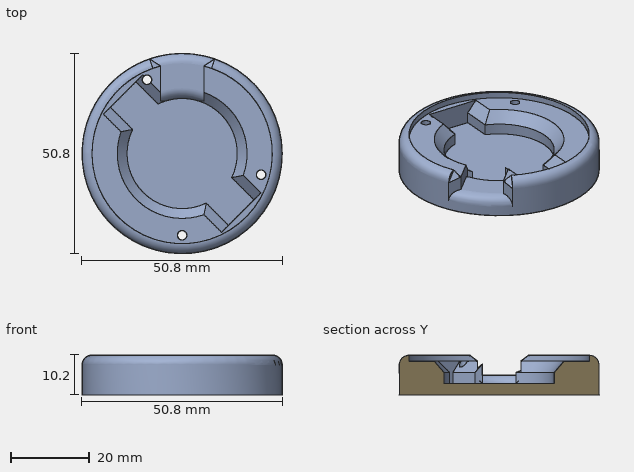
import cadquery as cq
import math

body_radius = 25.4
body_height = 10.15
edge_radius = 2.55
recess_radius = body_radius - edge_radius
recess_floor = 8.65

pocket_floor = 2.95
pocket_radius = 13.95
slot_length = 42.35
slot_half_width = 4.55
slot_angle = 135.0
bevel_width = 2.5
bevel_depth = 2.9
bevel_start = recess_floor - bevel_depth

notch_half_width = 5.5
notch_floor = 5.1
notch_inner_y = math.sqrt(recess_radius**2 - notch_half_width**2)
notch_end_y = 13.3
flare_angle = 19.0

hole_diameter = 2.35
hole_circle_radius = 20.75
hole_angles = (-90.0, -15.0, 115.5)


def polar(radius, angle):
    """Point in plan at a radius and an angle in degrees from +X."""
    return radius * math.cos(math.radians(angle)), radius * math.sin(math.radians(angle))


def make_disc():
    """Disc with its top outer edge rounded."""
    disc = cq.Workplane("XY").circle(body_radius).extrude(body_height)
    return disc.faces(">Z").edges().fillet(edge_radius)


def make_pocket():
    """Straight round pocket widening to a cone, except between the notch and the slot."""
    bore = cq.Workplane("XY").workplane(offset=pocket_floor)
    bore = bore.circle(pocket_radius).extrude(recess_floor - pocket_floor)
    cone_profile = [
        (0, bevel_start),
        (pocket_radius, bevel_start),
        (pocket_radius + bevel_width, recess_floor),
        (0, recess_floor),
    ]
    slot_corner_angle = slot_angle - math.degrees(math.asin(slot_half_width / pocket_radius))
    plain_sector = [(0, 0), (0, body_radius), polar(body_radius, slot_corner_angle)]
    plain_wall = cq.Workplane("XY").polyline(plain_sector).close().extrude(body_height)
    cone = cq.Workplane("XZ").polyline(cone_profile).close().revolve(360, (0, 0), (0, 1))
    return bore.union(cone.cut(plain_wall))


def make_slot():
    """Slot whose two long sides are straight below and bevelled above."""
    top_half_width = slot_half_width + bevel_width
    profile = [
        (-slot_half_width, pocket_floor),
        (slot_half_width, pocket_floor),
        (slot_half_width, bevel_start),
        (top_half_width, recess_floor),
        (-top_half_width, recess_floor),
        (-slot_half_width, bevel_start),
    ]
    slot = cq.Workplane("YZ").polyline(profile).close().extrude(slot_length / 2, both=True)
    return slot.rotate((0, 0, 0), (0, 0, 1), slot_angle)


def make_notch_opening():
    """Opening that leaves small wall slivers at the pocket and flares outward at the rim."""
    flare_x, flare_y = polar(body_radius, 90 - flare_angle)
    half_outline = [
        (notch_half_width, notch_end_y),
        (notch_half_width, notch_inner_y),
        (flare_x, flare_y),
        (flare_x, body_radius),
    ]
    outline = half_outline + [(-x, y) for x, y in reversed(half_outline)]
    return cq.Workplane("XY").polyline(outline).close().extrude(body_height)


def make_notch():
    """Opening above a sill that rounds down to the pocket and to the outer wall."""
    round_start = notch_floor - edge_radius
    arc_offset = edge_radius * math.sqrt(0.5)
    inner_round_end = pocket_radius + edge_radius
    above_sill = (
        cq.Workplane("XZ")
        .moveTo(pocket_radius, body_height)
        .lineTo(pocket_radius, round_start)
        .threePointArc(
            (inner_round_end - arc_offset, round_start + arc_offset),
            (inner_round_end, notch_floor),
        )
        .lineTo(recess_radius, notch_floor)
        .threePointArc(
            (recess_radius + arc_offset, round_start + arc_offset),
            (body_radius, round_start),
        )
        .lineTo(body_radius, body_height)
        .close()
        .revolve(360, (0, 0), (0, 1))
    )
    return make_notch_opening().intersect(above_sill)


def make_rim_end_slope():
    """Volume that ends the rim at +X: above a sloping plane and within the flare angle."""
    inner_corner = cq.Vector(notch_half_width, notch_inner_y, recess_floor)
    top_corner = cq.Vector(*polar(recess_radius, 90 - flare_angle), body_height)
    outer_corner = cq.Vector(*polar(body_radius, 90 - flare_angle), body_height - edge_radius)
    along_slope = top_corner - inner_corner
    normal = along_slope.cross(outer_corner - inner_corner)
    slope = cq.Workplane(cq.Plane(inner_corner, along_slope, normal))
    above_slope = slope.rect(2 * body_radius, 2 * body_radius).extrude(body_radius)
    limits = cq.Workplane("XY").workplane(offset=notch_floor)
    sector = [(0, 0), (0, 2 * body_radius), polar(2 * body_radius, 90 - flare_angle)]
    limits = limits.polyline(sector).close().extrude(body_height - notch_floor)
    return above_slope.intersect(limits)


recess = cq.Workplane("XY").workplane(offset=recess_floor)
recess = recess.circle(recess_radius).extrude(body_height - recess_floor)
body = make_disc().cut(recess)

rim_end_slope = make_rim_end_slope()
body = body.cut(make_notch()).cut(rim_end_slope).cut(rim_end_slope.mirror("YZ"))

holes = cq.Workplane("XY").pushPoints([polar(hole_circle_radius, angle) for angle in hole_angles])
holes = holes.circle(hole_diameter / 2).extrude(body_height)

result = body.cut(make_pocket()).cut(make_slot()).cut(holes)